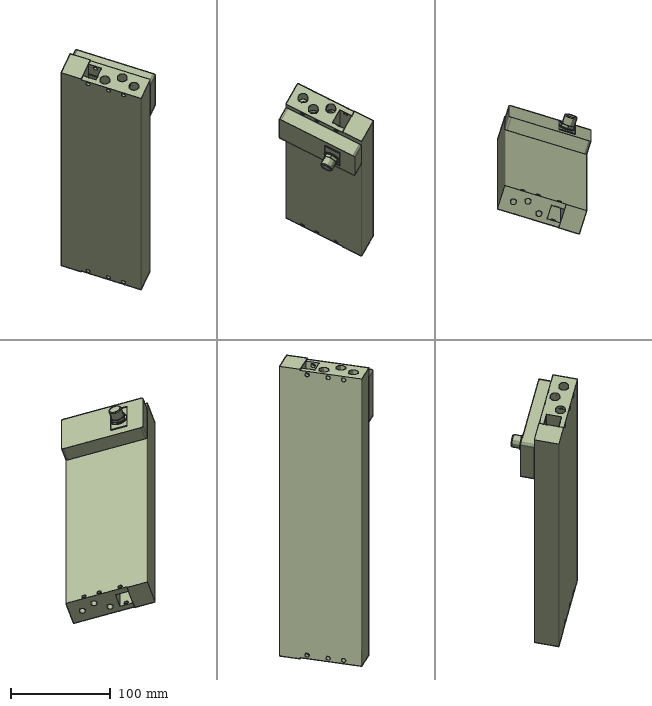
import cadquery as cq

WIDTH = 86.0
HEIGHT = 328.0
TOTAL_DEPTH = 53.5

SLAB_DEPTH = 25.3
STRIP_WIDTH = 21.5
END_SETBACK = 1.3
SLAB_CORNER_RADIUS = 0.3

DUCT_WIDTH = 13.8
DUCT_DEPTH = 14.5
DUCT_Y = 5.2
DUCT_MOUTH_DEPTH = 15.5

MOUTH_LENGTH = 16.5

BORE_CENTERS = [(44.0, 8.2), (59.0, 17.0), (73.8, 11.5)]
PASSAGE_CENTERS = [(45.0, 8.0), (59.0, 16.7), (72.8, 11.8)]
BORE_DIAMETER = 10.0
PASSAGE_DIAMETER = 6.0

CROSS_HOLE_X = [29.0, 51.0, 67.0]
CROSS_HOLE_DIAMETER = 4.3
CROSS_HOLE_INSET = 5.2

HOUSING_DEPTH = 14.0
HOUSING_HEIGHT = 54.0
HOUSING_TOP = HEIGHT - 10.5
HOUSING_RADIUS = 2.3

CONNECTOR_X = 25.3
CONNECTOR_Z = HEIGHT - 40.5
PLATE_WIDTH = 17.0
PLATE_HEIGHT = 34.8
PLATE_THICKNESS = 1.0
FLANGE_DIAMETER = 17.0
FLANGE_THICKNESS = 1.0
NUT_CORNER_DIAMETER = 15.0
NUT_THICKNESS = 3.0
BARREL_DIAMETER = 12.8
BARREL_CHAMFER = 1.0


def block(x, y, z, width, depth, height):
    """Box given by its lowest corner and its size."""
    return cq.Workplane("XY").box(width, depth, height, centered=False).translate((x, y, z))


def plane_facing_back(x, y, z):
    """Sketch plane at the given point, extruding toward +Y, with its first axis along Z."""
    return cq.Workplane(cq.Plane(origin=(x, y, z), xDir=(0, 0, 1), normal=(0, 1, 0)))


def slab():
    strip = block(0, 0, 0, STRIP_WIDTH, SLAB_DEPTH, HEIGHT)
    field = block(0, 0, END_SETBACK, WIDTH, SLAB_DEPTH, HEIGHT - 2 * END_SETBACK)
    return strip.union(field).faces("<X or >X").edges("|Z").fillet(SLAB_CORNER_RADIUS)


def housing():
    body = block(0, SLAB_DEPTH, HOUSING_TOP - HOUSING_HEIGHT, WIDTH, HOUSING_DEPTH, HOUSING_HEIGHT)
    return body.edges("|Y").fillet(HOUSING_RADIUS)


def connector():
    plate_y = SLAB_DEPTH + HOUSING_DEPTH
    flange_y = plate_y + PLATE_THICKNESS
    nut_y = flange_y + FLANGE_THICKNESS
    barrel_y = nut_y + NUT_THICKNESS
    housing_mid_z = HOUSING_TOP - HOUSING_HEIGHT / 2

    plate = plane_facing_back(CONNECTOR_X, plate_y, housing_mid_z)
    plate = plate.rect(PLATE_HEIGHT, PLATE_WIDTH).extrude(PLATE_THICKNESS)
    flange = plane_facing_back(CONNECTOR_X, flange_y, CONNECTOR_Z)
    flange = flange.circle(FLANGE_DIAMETER / 2).extrude(FLANGE_THICKNESS)
    nut = plane_facing_back(CONNECTOR_X, nut_y, CONNECTOR_Z)
    nut = nut.polygon(6, NUT_CORNER_DIAMETER).extrude(NUT_THICKNESS)
    barrel = plane_facing_back(CONNECTOR_X, barrel_y, CONNECTOR_Z)
    barrel = barrel.circle(BARREL_DIAMETER / 2).extrude(TOTAL_DEPTH - barrel_y)
    barrel = barrel.faces(">Y").chamfer(BARREL_CHAMFER)
    return plate.union(flange).union(nut).union(barrel)


def duct():
    passage = block(STRIP_WIDTH, DUCT_Y, 0, DUCT_WIDTH, DUCT_DEPTH, HEIGHT)
    mouth_z = HEIGHT - END_SETBACK - MOUTH_LENGTH
    mouth = block(STRIP_WIDTH, DUCT_Y, mouth_z, DUCT_WIDTH, DUCT_MOUTH_DEPTH, MOUTH_LENGTH)
    return passage.union(mouth)


def stepped_bores():
    mouths = cq.Workplane("XY", origin=(0, 0, HEIGHT - END_SETBACK)).pushPoints(BORE_CENTERS)
    mouths = mouths.circle(BORE_DIAMETER / 2).extrude(-MOUTH_LENGTH)
    passages = cq.Workplane("XY").pushPoints(PASSAGE_CENTERS)
    passages = passages.circle(PASSAGE_DIAMETER / 2).extrude(HEIGHT)
    return mouths.union(passages)


def cross_holes():
    rows = [CROSS_HOLE_INSET, HEIGHT - CROSS_HOLE_INSET]
    points = [(z, x) for z in rows for x in CROSS_HOLE_X]
    return plane_facing_back(0, 0, 0).pushPoints(points).circle(CROSS_HOLE_DIAMETER / 2).extrude(SLAB_DEPTH)


result = slab().union(housing()).union(connector())
result = result.cut(duct()).cut(stepped_bores()).cut(cross_holes())